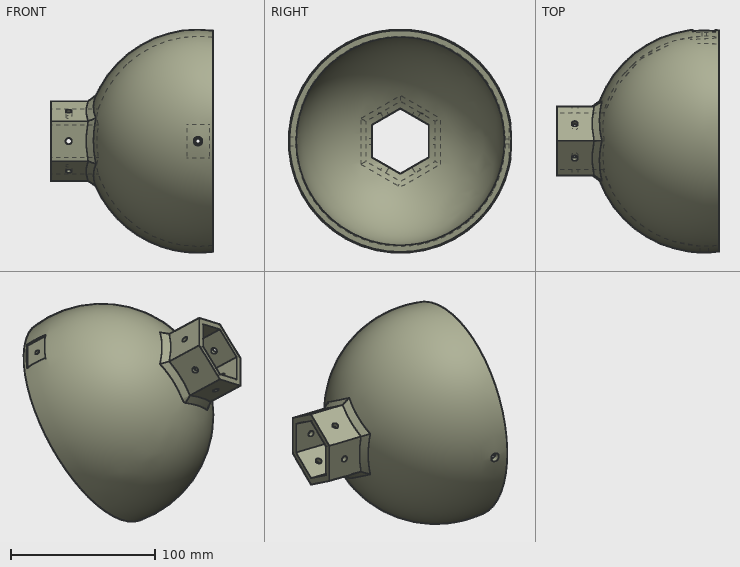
import cadquery as cq

dome_radius = 77.5
wall = 4.6
rim_x = 10.5

overall_length = 112.5
socket_end_x = rim_x - overall_length
socket_wall = 4.5
socket_half_flats = 24.0
socket_inner_half_flats = socket_half_flats - socket_wall
junction_chamfer = 3.7

socket_hole_x = -89.6
socket_hole_diameter = 4.2

access_hole_diameter = 6.2
screw_hole_diameter = 3.4

recess_length = 15.8
recess_height = 23.2
recess_depth = wall / 2


def hex_prism(half_flats, length):
    """Hexagonal bar from the socket end toward +X, with flats facing +Y and -Y."""
    corner_diameter = 2 * half_flats / (3 ** 0.5 / 2)
    profile = cq.Workplane("YZ", origin=(socket_end_x, 0, 0)).transformed(rotate=(0, 0, 90))
    return profile.polygon(6, corner_diameter).extrude(length)


def side_cylinder(diameter, start_y, length):
    """Cylinder pointing to +Y from start_y, on the Y axis."""
    return cq.Workplane("XZ", origin=(0, start_y, 0)).circle(diameter / 2).extrude(-length)


def make_body():
    """Solid dome with the hexagonal socket and the sloped junction between them."""
    ball = cq.Workplane("XY").sphere(dome_radius).rotate((0, 0, 0), (0, 1, 0), 90)
    keep_length = dome_radius + rim_x
    keep = cq.Workplane("XY").box(keep_length, 2 * dome_radius, 2 * dome_radius)
    dome = ball.intersect(keep.translate((rim_x - keep_length / 2, 0, 0)))
    body = dome.union(hex_prism(socket_half_flats, -socket_end_x))
    slab_end_x = -0.9 * dome_radius
    reach = 2 * socket_half_flats
    near_junction = cq.selectors.BoxSelector(
        (-dome_radius, -reach, -reach), (slab_end_x, reach, reach)
    )
    return body.edges(near_junction).edges("%CIRCLE").chamfer(junction_chamfer)


def hollow(body):
    """Remove the spherical cavity and the hexagonal bore leading into it."""
    cavity = cq.Workplane("XY").sphere(dome_radius - wall)
    bore = hex_prism(socket_inner_half_flats, -socket_end_x)
    return body.cut(cavity).cut(bore)


def drill_socket(body):
    """Drill the three cross holes that pierce all six flats."""
    drill_length = 3 * socket_half_flats
    drill = cq.Workplane("XZ", origin=(socket_hole_x, 0, 0))
    drill = drill.circle(socket_hole_diameter / 2).extrude(drill_length / 2, both=True)
    for angle in (0, 60, 120):
        body = body.cut(drill.rotate((0, 0, 0), (1, 0, 0), angle))
    return body


def cut_sides(body):
    """Cut the access hole at -Y and the recessed screw hole at +Y."""
    body = body.cut(side_cylinder(access_hole_diameter, -dome_radius, dome_radius))
    body = body.cut(side_cylinder(screw_hole_diameter, 0, dome_radius))
    recess = cq.Workplane("XY").box(recess_length, recess_depth, recess_height)
    return body.cut(recess.translate((0, dome_radius - recess_depth / 2, 0)))


result = cut_sides(drill_socket(hollow(make_body())))